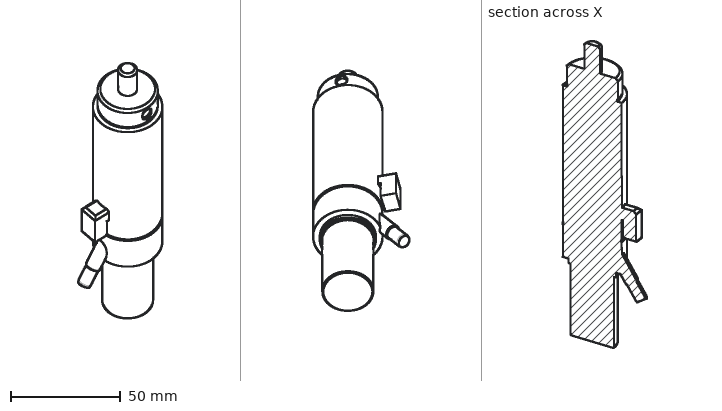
import cadquery as cq
import math

body_diameter = 31.67
overall_depth = 44.45
total_height = 155.11

tube_top = 37.2
collar_top = 39.6
groove_bottom = 56.8
body_top = 129.4
neck_bottom = 130.2
neck_top = 141.3

body_radius = body_diameter / 2
tube_radius = 11.65
collar_radius = 12.8
neck_radius = 13.75
undercut_radius = 13.4
shaft_radius = 4.35

tube_chamfer = 0.5
collar_chamfer = 0.5
neck_chamfer = 1.3
shaft_chamfer = 1.2

groove_width = 0.7
groove_depth = 0.3

socket_height = 135.65
socket_mouth_radius = 3.1
socket_bore_radius = 2.3
socket_depth = 4.0

block_width = 9.5
block_front = 23.5
block_bottom = 59.0
block_top = 74.8
block_chamfer = 1.4
relief_top = 68.2
relief_gap = 0.5

cable_lean = 34.0
cable_tip_height = 29.1
cable_length = 27.0
cable_radius = 3.1
cable_tip_chamfer = 0.2
cable_tip_band = 1.2
sleeve_radius = 3.5
sleeve_setback = 9.1
sleeve_chamfer = 0.5


def stage(radius, bottom, top):
    """Solid disc of the turned stack between two heights."""
    return cq.Workplane("XY").workplane(offset=bottom).circle(radius).extrude(top - bottom)


def turned_stack():
    """Tube, collar, body, undercut, neck and shaft, from the bottom up."""
    tube = stage(tube_radius, 0, tube_top).faces("<Z").chamfer(tube_chamfer)
    collar = stage(collar_radius, tube_top, collar_top).faces("<Z").chamfer(collar_chamfer)
    body = stage(body_radius, collar_top, body_top)
    undercut = stage(undercut_radius, body_top, neck_bottom)
    neck = stage(neck_radius, neck_bottom, neck_top).faces(">Z").chamfer(neck_chamfer)
    shaft = stage(shaft_radius, neck_top, total_height).faces(">Z").chamfer(shaft_chamfer)
    return tube.union(collar).union(body).union(undercut).union(neck).union(shaft)


def joint_groove():
    """Ring of material removed from the joint between the lower ring and the body."""
    groove_top = groove_bottom + groove_width
    outer = stage(body_radius + groove_depth, groove_bottom, groove_top)
    return outer.cut(stage(body_radius - groove_depth, groove_bottom, groove_top))


def neck_socket(side):
    """Blind countersunk bore on the +X (side = 1) or -X (side = -1) flank of the neck."""
    mouth = side * neck_radius
    floor = mouth - side * socket_depth
    countersink_end = mouth - side * (socket_mouth_radius - socket_bore_radius)
    profile = [
        (floor, 0),
        (floor, socket_bore_radius),
        (countersink_end, socket_bore_radius),
        (mouth, socket_mouth_radius),
        (mouth, 0),
    ]
    socket = cq.Workplane("XZ").polyline(profile).close().revolve(360, (0, 0, 0), (1, 0, 0))
    return socket.translate((0, 0, socket_height))


def connector_block():
    """Block with its top edges chamfered and a relief behind its lower part."""
    block = (
        cq.Workplane("XY")
        .box(block_width, block_front, block_top - block_bottom, centered=(True, False, False))
        .translate((0, -block_front, block_bottom))
    )
    block = block.faces(">Z").edges("<Y or |Y").chamfer(block_chamfer)
    relief_depth = body_radius + relief_gap
    relief = (
        cq.Workplane("XY")
        .box(block_width, relief_depth, relief_top - block_bottom, centered=(True, False, False))
        .translate((0, -relief_depth, block_bottom))
    )
    return block.cut(relief)


def cable_outlet():
    """Round cable in a wider sleeve, turned about the cable axis and set to its lean."""
    cable = cq.Workplane("XY").circle(cable_radius).extrude(cable_length)
    cable = cable.faces("<Z").chamfer(cable_tip_band, cable_tip_chamfer)
    sleeve = (
        cq.Workplane("XY")
        .workplane(offset=sleeve_setback)
        .circle(sleeve_radius)
        .extrude(cable_length - sleeve_setback)
        .faces("<Z")
        .chamfer(sleeve_chamfer)
    )
    tip_radius = cable_radius - cable_tip_chamfer
    tip_offset = overall_depth - body_radius - tip_radius * math.cos(math.radians(cable_lean))
    outlet = cable.union(sleeve).rotate((0, 0, 0), (1, 0, 0), -cable_lean)
    return outlet.translate((0, -tip_offset, cable_tip_height))


result = turned_stack().cut(joint_groove())
for side in (-1, 1):
    result = result.cut(neck_socket(side))
result = result.union(connector_block()).union(cable_outlet())